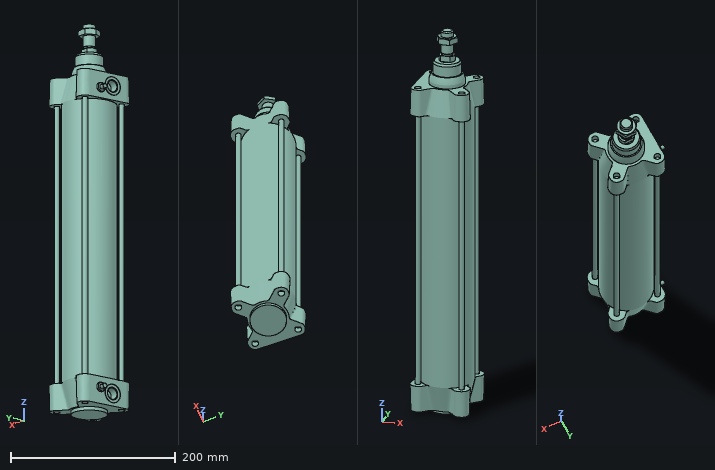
import cadquery as cq
import math

TOTAL_LENGTH = 494.0
COLLAR_HEIGHT = 4.5
CAP_HEIGHT = 34.0
TUBE_LENGTH = 352.5
FLARE_HEIGHT = 9.0
BOSS_HEIGHT = 16.5
LOWER_CAP_FACE = COLLAR_HEIGHT + CAP_HEIGHT
UPPER_CAP_FACE = LOWER_CAP_FACE + TUBE_LENGTH
FLARE_BASE = UPPER_CAP_FACE + CAP_HEIGHT + COLLAR_HEIGHT
BOSS_BASE = FLARE_BASE + FLARE_HEIGHT
BOSS_TOP = BOSS_BASE + BOSS_HEIGHT

CAP_WIDTH = 76.0
CAP_SIDE_X = -CAP_WIDTH / 2
CAP_TAPER = 1.0
CAP_DRAFT = math.degrees(math.atan(CAP_TAPER / CAP_HEIGHT))
TIE_ROD_OFFSET = 28.0
CORNER_RADIUS = CAP_WIDTH / 2 - TIE_ROD_OFFSET
NOTCH_APEX = 15.5
NOTCH_SHOULDER_RADIUS = 6.0
NOTCH_ROOT_RADIUS = 4.0
CORE_END_RADIUS = 25.5

TUBE_DIAMETER = 68.0
TIE_ROD_DIAMETER = 7.0
TIE_HOLE_DIAMETER = 8.0
TIE_HOLE_DEPTH = 10.0
COLLAR_DIAMETER = 45.0
FLARE_TOP_DIAMETER = 38.5
FLARE_BULGE = 0.5
BOSS_DIAMETER = 35.0
BOSS_CHAMFER_WIDTH = 1.5
BOSS_CHAMFER_HEIGHT = 3.0

PORT_Y = -7.5
PORT_HEIGHT = 18.5
PORT_SPOTFACE_DIAMETER = 23.0
PORT_SPOTFACE_DEPTH = 1.0
PORT_MOUTH_DIAMETER = 16.0
PORT_BORE_DIAMETER = 14.5
PORT_CHAMFER = (PORT_MOUTH_DIAMETER - PORT_BORE_DIAMETER) / 2
PORT_DEPTH = 12.5
SCREW_Y = 11.5
SCREW_HEIGHT = 13.5
SCREW_REACH = 46.5
SCREW_PIN_DIAMETER = 6.0
SCREW_PIN_LENGTH = 6.5
SCREW_FLANGE_TOP_DIAMETER = 11.0
SCREW_FLANGE_DIAMETER = 12.0
SCREW_ROOT_DEPTH = 3.5

ROD_DIAMETER = 20.0
ROD_FLATS = 16.0
ROD_SHOULDER = 462.5
ROD_BOTTOM = UPPER_CAP_FACE
NECK_DIAMETER = 14.5
NECK_HEIGHT = 2.5
THREAD_DIAMETER = 16.0
THREAD_CHAMFER = 1.5

NUT_FLATS = 24.0
NUT_THICKNESS = 8.0
NUT_BASE = 478.5
NUT_CHAMFER_DIAMETER = 23.0
NUT_CHAMFER_ANGLE = 30.0
HEXAGON_SIDES = 6


def disc(diameter, base, height):
    """Cylinder on the Z axis."""
    return cq.Workplane("XY", origin=(0, 0, base)).circle(diameter / 2).extrude(height)


def at_tie_rods(base):
    """Workplane at one height with a point on each tie rod axis."""
    spacing = 2 * TIE_ROD_OFFSET
    return cq.Workplane("XY", origin=(0, 0, base)).rect(spacing, spacing, forConstruction=True).vertices()


def side_plane(x, y, height):
    """Workplane on the -X side, facing inward along +X."""
    return cq.Workplane("YZ", origin=(x, y, height))


def cap_core():
    """Cone that narrows from the tube to the end face and forms the floor of the notches."""
    return (
        cq.Workplane("XY").circle(TUBE_DIAMETER / 2)
        .workplane(offset=CAP_HEIGHT).circle(CORE_END_RADIUS).loft()
    )


def notch():
    """V-shaped space between two corner arms on the -Y side, down to the cone."""
    reach = CAP_WIDTH
    far_y = -NOTCH_APEX - reach
    wedge = (
        cq.Workplane("XY")
        .polyline([(0, -NOTCH_APEX), (-reach, far_y), (reach, far_y)]).close()
        .extrude(CAP_HEIGHT, taper=-CAP_DRAFT)
    )
    space = wedge.cut(cap_core())
    root_zone = cq.selectors.BoxSelector(
        (-CAP_WIDTH / 2, -CAP_WIDTH / 2, CAP_HEIGHT / 4),
        (CAP_WIDTH / 2, 0, CAP_HEIGHT * 3 / 4),
    )
    return space.edges(root_zone).fillet(NOTCH_ROOT_RADIUS)


def cap_block():
    """Tapered block with notches on every side but -X."""
    outline = cq.Sketch().rect(CAP_WIDTH, CAP_WIDTH).vertices().fillet(CORNER_RADIUS)
    block = cq.Workplane("XY").placeSketch(outline).extrude(CAP_HEIGHT, taper=CAP_DRAFT)
    for angle in (0, 90, 180):
        block = block.cut(notch().rotate((0, 0, 0), (0, 0, 1), angle))
    half = CAP_WIDTH / 2
    shoulder = half - NOTCH_APEX
    corners = [
        (-shoulder, -half), (shoulder, -half), (half, -shoulder),
        (half, shoulder), (shoulder, half), (-shoulder, half),
    ]
    for x, y in corners:
        edge = block.edges(cq.selectors.NearestToPointSelector((x, y, CAP_HEIGHT / 2)))
        block = edge.fillet(NOTCH_SHOULDER_RADIUS)
    return block


def port():
    """Space of the air port: a shallow spotface and a bore with a chamfered mouth."""
    floor = CAP_SIDE_X + PORT_SPOTFACE_DEPTH
    spotface = (
        side_plane(CAP_SIDE_X, PORT_Y, PORT_HEIGHT).circle(PORT_SPOTFACE_DIAMETER / 2)
        .extrude(PORT_SPOTFACE_DEPTH)
    )
    bore = side_plane(floor, PORT_Y, PORT_HEIGHT).circle(PORT_BORE_DIAMETER / 2).extrude(PORT_DEPTH)
    mouth = (
        side_plane(floor, PORT_Y, PORT_HEIGHT).circle(PORT_MOUTH_DIAMETER / 2)
        .workplane(offset=PORT_CHAMFER).circle(PORT_BORE_DIAMETER / 2).loft()
    )
    return spotface.union(bore).union(mouth)


def cushion_screw():
    """Screw head that stands out from the -X side, with a root that joins it to the cap."""
    shoulder = SCREW_PIN_LENGTH - SCREW_REACH
    pin = (
        side_plane(-SCREW_REACH, SCREW_Y, SCREW_HEIGHT).circle(SCREW_PIN_DIAMETER / 2)
        .extrude(SCREW_PIN_LENGTH)
    )
    flange = (
        side_plane(shoulder, SCREW_Y, SCREW_HEIGHT).circle(SCREW_FLANGE_TOP_DIAMETER / 2)
        .workplane(offset=CAP_SIDE_X - shoulder).circle(SCREW_FLANGE_DIAMETER / 2).loft()
    )
    root = (
        side_plane(CAP_SIDE_X, SCREW_Y, SCREW_HEIGHT).circle(SCREW_FLANGE_DIAMETER / 2)
        .extrude(SCREW_ROOT_DEPTH)
    )
    return pin.union(flange).union(root)


def end_cap():
    """Cap with its tube-side face on Z = 0 and its collar pointing up."""
    cap = cap_block().union(disc(COLLAR_DIAMETER, CAP_HEIGHT, COLLAR_HEIGHT))
    cap = cap.cut(port()).union(cushion_screw())
    holes = at_tie_rods(CAP_HEIGHT - TIE_HOLE_DEPTH).circle(TIE_HOLE_DIAMETER / 2).extrude(TIE_HOLE_DEPTH)
    return cap.cut(holes)


def boss():
    """Domed flare and rod bearing boss on the upper collar."""
    collar_radius = COLLAR_DIAMETER / 2
    flare_radius = FLARE_TOP_DIAMETER / 2
    boss_radius = BOSS_DIAMETER / 2
    middle = ((collar_radius + flare_radius) / 2 + FLARE_BULGE, FLARE_BASE + FLARE_HEIGHT / 2)
    return (
        cq.Workplane("XZ").moveTo(0, FLARE_BASE).lineTo(collar_radius, FLARE_BASE)
        .threePointArc(middle, (flare_radius, BOSS_BASE))
        .lineTo(boss_radius, BOSS_BASE)
        .lineTo(boss_radius, BOSS_TOP - BOSS_CHAMFER_HEIGHT)
        .lineTo(boss_radius - BOSS_CHAMFER_WIDTH, BOSS_TOP)
        .lineTo(0, BOSS_TOP).close()
        .revolve(360, (0, 0, 0), (0, 1, 0))
    )


def build_housing():
    """Tube, tie rods and both end caps, with a socket for the piston rod through the upper cap."""
    tube = disc(TUBE_DIAMETER, LOWER_CAP_FACE, TUBE_LENGTH)
    tie_rods = at_tie_rods(LOWER_CAP_FACE).circle(TIE_ROD_DIAMETER / 2).extrude(TUBE_LENGTH)
    upper_cap = end_cap().translate((0, 0, UPPER_CAP_FACE))
    lower_cap = end_cap().mirror("XY").translate((0, 0, LOWER_CAP_FACE))
    housing = upper_cap.union(tube).union(tie_rods).union(lower_cap).union(boss())
    return housing.cut(disc(ROD_DIAMETER, ROD_BOTTOM, BOSS_TOP - ROD_BOTTOM))


def build_piston_rod():
    """Shank in the upper cap, wrench flats, neck and threaded end."""
    thread_base = ROD_SHOULDER + NECK_HEIGHT
    shank = disc(ROD_DIAMETER, ROD_BOTTOM, BOSS_TOP - ROD_BOTTOM)
    flats_length = ROD_SHOULDER - BOSS_TOP
    bar = cq.Workplane("XY", origin=(0, 0, BOSS_TOP)).rect(ROD_DIAMETER, ROD_FLATS).extrude(flats_length)
    flats = disc(ROD_DIAMETER, BOSS_TOP, flats_length).intersect(bar)
    neck = disc(NECK_DIAMETER, ROD_SHOULDER, NECK_HEIGHT)
    thread = disc(THREAD_DIAMETER, thread_base, TOTAL_LENGTH - thread_base)
    thread = thread.faces(">Z").chamfer(THREAD_CHAMFER)
    return shank.union(flats).union(neck).union(thread)


def build_nut():
    """Hexagonal lock nut on the threaded end, chamfered on its upper face."""
    across_corners = NUT_FLATS / math.cos(math.pi / HEXAGON_SIDES)
    top = NUT_BASE + NUT_THICKNESS
    hexagon = (
        cq.Workplane("XY", origin=(0, 0, NUT_BASE))
        .polygon(HEXAGON_SIDES, across_corners).extrude(NUT_THICKNESS)
    )
    drop = (across_corners - NUT_CHAMFER_DIAMETER) / 2 * math.tan(math.radians(NUT_CHAMFER_ANGLE))
    envelope = (
        cq.Workplane("XZ").moveTo(0, NUT_BASE).lineTo(across_corners / 2, NUT_BASE)
        .lineTo(across_corners / 2, top - drop)
        .lineTo(NUT_CHAMFER_DIAMETER / 2, top)
        .lineTo(0, top).close()
        .revolve(360, (0, 0, 0), (0, 1, 0))
    )
    return hexagon.intersect(envelope).cut(disc(THREAD_DIAMETER, NUT_BASE, NUT_THICKNESS))


housing = build_housing().solids()
piston_rod = build_piston_rod().solids()
nut = build_nut().solids()

result = cq.Compound.makeCompound([housing.val(), piston_rod.val(), nut.val()])